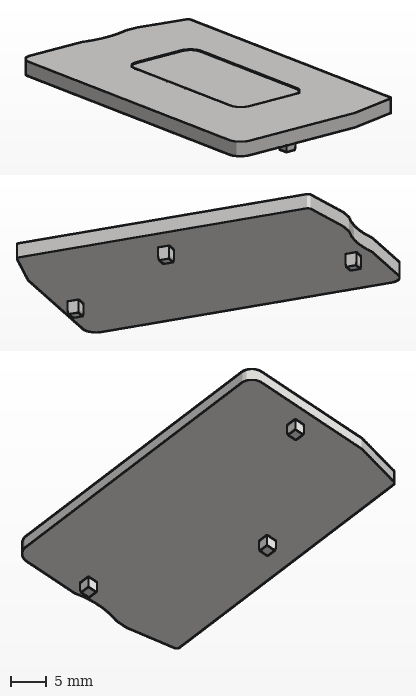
import cadquery as cq

length = 48.2
width = 29.25
total_height = 4.1
plate_thickness = 2.15
taper_inset = 1.75
taper_height = 8.05
upper_corner_radius = 0.55
lower_corner_radius = 2.02

hollow_centre_y = 0.65
hollow_chord = 8.0
hollow_depth = 0.6

recess_length = 24.85
recess_width = 12.0
recess_centre_y = 1.05
recess_radius = 1.95
recess_depth = 0.15

peg_side = 1.7
peg_height = total_height - plate_thickness
peg_tip_height = 0.5
peg_tip_inset = 0.1
outer_peg_x = 21.2
outer_peg_y = -3.4
middle_peg_x = 1.85
middle_peg_y = 9.25
peg_centres = [
    (-outer_peg_x, outer_peg_y),
    (outer_peg_x, outer_peg_y),
    (middle_peg_x, middle_peg_y),
]


def make_plate():
    """Plate with its underside on Z = 0."""
    half_length = length / 2
    half_width = width / 2
    taper_start_y = half_width - taper_height
    upper_corner_x = half_length - taper_inset
    hollow_top = (-half_length, hollow_centre_y + hollow_chord / 2)
    hollow_middle = (-half_length + hollow_depth, hollow_centre_y)
    hollow_bottom = (-half_length, hollow_centre_y - hollow_chord / 2)
    plate = (
        cq.Workplane("XY")
        .moveTo(-half_length, -half_width)
        .lineTo(half_length, -half_width)
        .lineTo(half_length, taper_start_y)
        .lineTo(upper_corner_x, half_width)
        .lineTo(-upper_corner_x, half_width)
        .lineTo(-half_length, taper_start_y)
        .lineTo(*hollow_top)
        .threePointArc(hollow_middle, hollow_bottom)
        .close()
        .extrude(plate_thickness)
    )
    plate = plate.edges("|Z and <Y").fillet(lower_corner_radius)
    return plate.edges("|Z and >Y").fillet(upper_corner_radius)


def make_recess():
    """Rounded block that cuts the label recess."""
    return (
        cq.Workplane("XY", origin=(0, recess_centre_y, plate_thickness - recess_depth))
        .rect(recess_length, recess_width)
        .extrude(recess_depth)
        .edges("|Z")
        .fillet(recess_radius)
    )


def make_peg(x, y):
    """Square peg hanging below the plate at (x, y)."""
    peg = cq.Workplane("XY", origin=(x, y, 0)).rect(peg_side, peg_side).extrude(-peg_height)
    return peg.faces("<Z").chamfer(peg_tip_height, peg_tip_inset)


result = make_plate().cut(make_recess())
for peg_x, peg_y in peg_centres:
    result = result.union(make_peg(peg_x, peg_y))